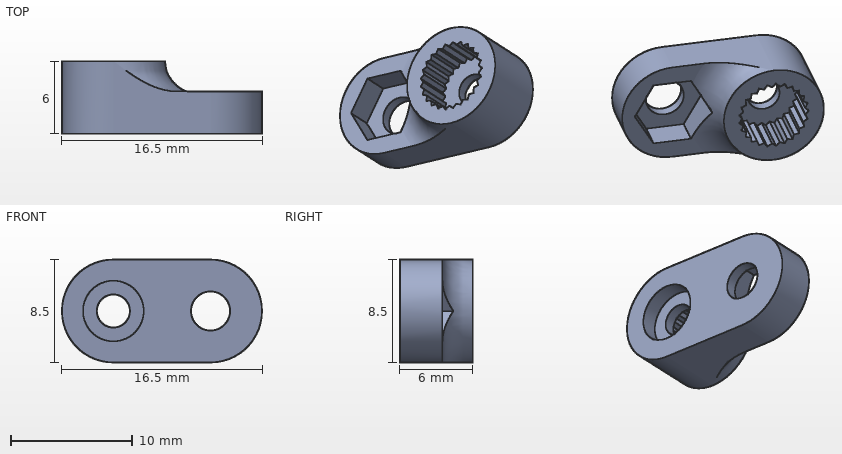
import cadquery as cq
import math

length = 16.5
height = 8.5
depth = 6.0
plate_thickness = 3.5
screw_hole_diameter = 2.7
counterbore_diameter = 5.0
counterbore_depth = 1.5
screw_web = 1.0
plain_hole_diameter = 3.2
nut_width = 5.5
nut_floor = 1.0
tooth_count = 25
spline_outer_diameter = 5.9
spline_inner_diameter = 5.35

end_radius = height / 2
hole_spacing = length - height
screw_x = -hole_spacing / 2
plain_x = hole_spacing / 2
flare_radius = depth - plate_thickness
spline_floor = counterbore_depth + screw_web
nut_corner_diameter = nut_width / math.cos(math.pi / 6)


def slot_block(thickness):
    """Round-ended block whose front face lies on Y = 0."""
    return cq.Workplane("XZ").slot2D(length, height).extrude(-thickness)


def hole_cutter(x, diameter, hole_depth):
    """Cylinder entering the front face and running towards +Y."""
    return cq.Workplane("XZ").center(x, 0).circle(diameter / 2).extrude(-hole_depth)


def flared_boss():
    """Round boss around the screw hole, with a concave quarter-circle flare onto the plate."""
    flare_middle = flare_radius * (1 - 0.5**0.5)
    profile = (
        cq.Workplane("XY")
        .lineTo(end_radius + flare_radius, 0)
        .lineTo(end_radius + flare_radius, plate_thickness)
        .threePointArc(
            (end_radius + flare_middle, plate_thickness + flare_middle),
            (end_radius, depth),
        )
        .lineTo(0, depth)
        .close()
    )
    boss = profile.revolve(360, (0, 0, 0), (0, 1, 0))
    return boss.translate((screw_x, 0, 0))


def nut_pocket():
    """Hexagonal pocket open to the back, with two flats parallel to the long sides."""
    hexagon = cq.Workplane("XZ").center(plain_x, 0).polygon(6, nut_corner_diameter)
    return hexagon.extrude(-depth).translate((0, nut_floor, 0))


def spline_socket():
    """Socket open to the back of the boss, with straight-sided teeth around its wall."""
    half_pitch = math.pi / tooth_count
    corners = []
    for tooth in range(tooth_count):
        groove_angle = half_pitch * (2 * tooth + 1)
        for diameter, angle in (
            (spline_outer_diameter, groove_angle),
            (spline_inner_diameter, groove_angle + half_pitch),
        ):
            corners.append((diameter / 2 * math.cos(angle), diameter / 2 * math.sin(angle)))
    socket = cq.Workplane("XZ").polyline(corners).close().extrude(-depth)
    return socket.translate((screw_x, spline_floor, 0))


trimmed_boss = flared_boss().intersect(slot_block(depth))
body = slot_block(plate_thickness).union(trimmed_boss)

result = (
    body
    .cut(hole_cutter(screw_x, screw_hole_diameter, depth))
    .cut(hole_cutter(screw_x, counterbore_diameter, counterbore_depth))
    .cut(hole_cutter(plain_x, plain_hole_diameter, depth))
    .cut(nut_pocket())
    .cut(spline_socket())
)